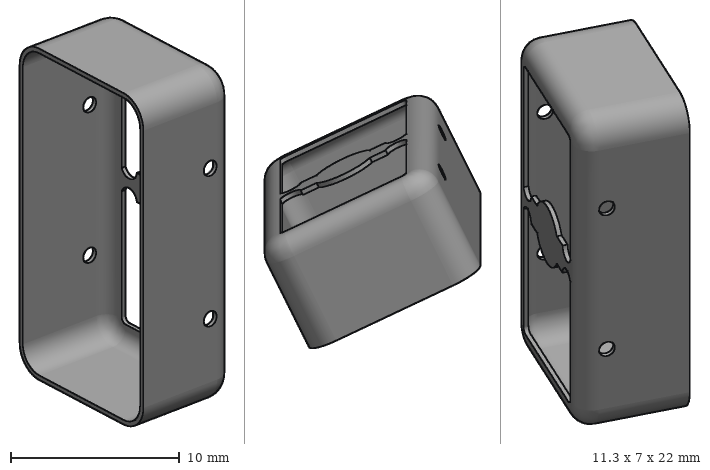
import cadquery as cq

width = 11.3
depth = 7.0
height = 22.0
wall = 0.3
corner_radius = 1.8
back_edge_radius = 1.25

window_width = 8.32
window_height = 18.96
window_corner_radius = 0.35

bridge_height = 1.94
disc_radius = 2.0
notch_radius = 0.7
notch_offset = 3.5
neck_height = 0.64

side_hole_diameter = 1.0
side_hole_spacing = 9.99
side_hole_from_back = 1.78

back_y = depth / 2
front_y = -depth / 2


def plane_at(y):
    """Plane facing -Y, with local x along X and local y along Z."""
    return cq.Workplane("XZ", origin=(0, y, 0))


def rounded_block(inset, start_y, end_y):
    """Block with rounded corners and back edge, inset from the outer sides."""
    return (
        plane_at(end_y)
        .rect(width - 2 * inset, height - 2 * inset)
        .extrude(end_y - start_y)
        .edges("|Y")
        .fillet(corner_radius - inset)
        .faces(">Y")
        .edges()
        .fillet(back_edge_radius - inset)
    )


def make_shell():
    outer = rounded_block(0, front_y, back_y)
    cavity = rounded_block(wall, front_y, back_y - wall)
    return outer.cut(cavity)


def make_bridge():
    """Bar with a central disc and a narrow notched neck at each end."""
    bar = plane_at(back_y).rect(window_width, bridge_height).extrude(wall)
    disc = plane_at(back_y).circle(disc_radius).extrude(wall)
    notch_z = neck_height / 2 + notch_radius
    notch_centers = [(x, z) for x in (-notch_offset, notch_offset) for z in (-notch_z, notch_z)]
    notches = plane_at(back_y).pushPoints(notch_centers).circle(notch_radius).extrude(wall)
    return bar.union(disc).cut(notches)


def make_window():
    """Rounded opening through the back wall that leaves the bridge standing."""
    opening = (
        plane_at(back_y)
        .rect(window_width, window_height)
        .extrude(wall)
        .edges("|Y")
        .fillet(window_corner_radius)
    )
    return opening.cut(make_bridge())


def make_side_holes():
    hole_y = back_y - side_hole_from_back
    hole_centers = [(hole_y, z) for z in (-side_hole_spacing / 2, side_hole_spacing / 2)]
    return (
        cq.Workplane("YZ")
        .pushPoints(hole_centers)
        .circle(side_hole_diameter / 2)
        .extrude(width / 2, both=True)
    )


result = make_shell().cut(make_window()).cut(make_side_holes())